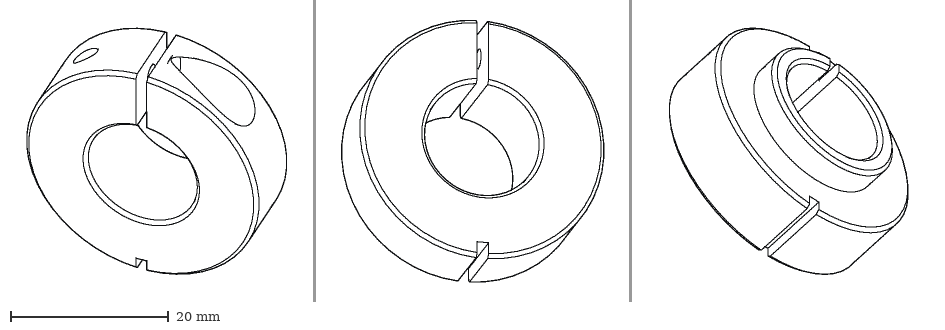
import cadquery as cq

ring_diameter = 32.0
ring_width = 10.0
hub_diameter = 20.0
hub_length = 4.0
bore_diameter = 15.0
edge_chamfer = 0.5

slit_width = 1.5
notch_depth = 2.0

screw_height = 12.5
screw_hole_diameter = 2.5
head_bore_diameter = 6.72
head_seat_x = 1.85

ring_radius = ring_diameter / 2
total_length = ring_width + hub_length


def cylinder_along_y(diameter, start, length):
    """Solid cylinder about the Y axis, running from start towards +Y."""
    plane = cq.Plane(origin=(0, start, 0), xDir=(1, 0, 0), normal=(0, 1, 0))
    return cq.Workplane(plane).circle(diameter / 2).extrude(length)


def cylinder_along_x(diameter, start, end):
    """Solid cylinder on the screw axis, running between two X positions."""
    plane = cq.Plane(origin=(start, ring_width / 2, screw_height), xDir=(0, 1, 0), normal=(1, 0, 0))
    return cq.Workplane(plane).circle(diameter / 2).extrude(end - start)


def slot_cutter(bottom, top):
    """Full-length block of the slit width between two Z positions."""
    block = cq.Workplane("XY").box(slit_width, total_length, top - bottom, centered=(True, False, False))
    return block.translate((0, 0, bottom))


ring = cylinder_along_y(ring_diameter, 0, ring_width).edges().chamfer(edge_chamfer)
hub = cylinder_along_y(hub_diameter, 0, total_length).faces(">Y").edges().chamfer(edge_chamfer)
collar = ring.union(hub)

collar = collar.cut(cylinder_along_y(bore_diameter, 0, total_length))
bore_edges = collar.edges(cq.selectors.RadiusNthSelector(0))
collar = bore_edges.chamfer(edge_chamfer)

collar = collar.cut(slot_cutter(0, ring_radius))
collar = collar.cut(slot_cutter(-ring_radius, -ring_radius + notch_depth))

collar = collar.cut(cylinder_along_x(screw_hole_diameter, -ring_radius, ring_radius))
collar = collar.cut(cylinder_along_x(head_bore_diameter, head_seat_x, ring_radius))

result = collar